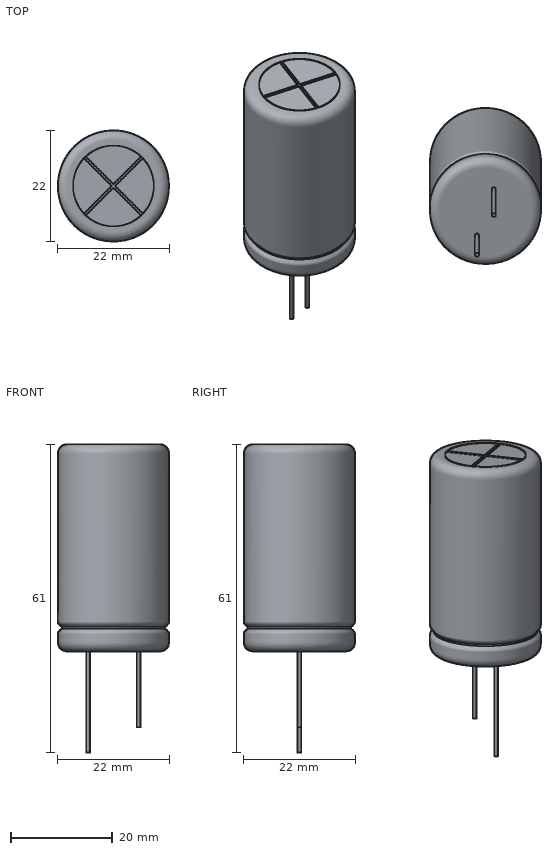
import cadquery as cq
CAN_DIAMETER = 22.0
CAN_HEIGHT = 41.0
CAN_EDGE_RADIUS = 1.8
CAN_RADIUS = CAN_DIAMETER / 2

GROOVE_Z = 4.7
GROOVE_BOTTOM_WIDTH = 0.35
GROOVE_DEPTH = 0.75
GROOVE_LIP_RADIUS = 0.55

RECESS_DIAMETER = 16.0
RECESS_DEPTH = 0.15
SCORE_WIDTH = 0.5
SCORE_DEPTH = 0.15
SCORE_ANGLES = (45, 135)

LEAD_DIAMETER = 0.8
LEAD_PITCH = 10.0
TOTAL_HEIGHT = 61.0
LONG_LEAD_LENGTH = TOTAL_HEIGHT - CAN_HEIGHT
SHORT_LEAD_LENGTH = 15.0
LEADS = ((-LEAD_PITCH / 2, LONG_LEAD_LENGTH), (LEAD_PITCH / 2, SHORT_LEAD_LENGTH))


def make_groove_cutter():
    """Ring with a trapezoid section that leaves the crimp groove in the can wall."""
    bottom_half = GROOVE_BOTTOM_WIDTH / 2
    mouth_half = bottom_half + GROOVE_DEPTH
    bottom_radius = CAN_RADIUS - GROOVE_DEPTH
    return (
        cq.Workplane("XZ")
        .moveTo(bottom_radius, GROOVE_Z - bottom_half)
        .lineTo(CAN_RADIUS, GROOVE_Z - mouth_half)
        .lineTo(CAN_RADIUS, GROOVE_Z + mouth_half)
        .lineTo(bottom_radius, GROOVE_Z + bottom_half)
        .close()
        .revolve(360, (0, 0, 0), (0, 1, 0))
    )


def cut_crimp_groove(can):
    """Cut the groove, then round its two lips."""
    can = can.cut(make_groove_cutter())
    mouth_half = GROOVE_BOTTOM_WIDTH / 2 + GROOVE_DEPTH
    margin = GROOVE_LIP_RADIUS / 2
    for lip_z in (GROOVE_Z - mouth_half, GROOVE_Z + mouth_half):
        lip_zone = cq.selectors.BoxSelector(
            (-CAN_DIAMETER, -CAN_DIAMETER, lip_z - margin),
            (CAN_DIAMETER, CAN_DIAMETER, lip_z + margin),
        )
        can = can.edges("%CIRCLE").edges(lip_zone).fillet(GROOVE_LIP_RADIUS)
    return can


def make_recess_disc(bottom_z, thickness):
    """Disc on the can's axis, as wide as the recess."""
    return cq.Workplane().workplane(offset=bottom_z).circle(RECESS_DIAMETER / 2).extrude(thickness)


def cut_top_recess(can):
    """Sink the round recess and score a cross across its floor."""
    recess_floor = CAN_HEIGHT - RECESS_DEPTH
    score_floor = recess_floor - SCORE_DEPTH
    can = can.cut(make_recess_disc(recess_floor, RECESS_DEPTH))
    score_limit = make_recess_disc(score_floor, SCORE_DEPTH)
    for angle in SCORE_ANGLES:
        bar = (
            cq.Workplane()
            .workplane(offset=score_floor)
            .rect(RECESS_DIAMETER, SCORE_WIDTH)
            .extrude(SCORE_DEPTH)
            .rotate((0, 0, 0), (0, 0, 1), angle)
        )
        can = can.cut(bar.intersect(score_limit))
    return can


def make_can():
    """Cylinder with rounded ends, a crimp groove near the bottom and a scored recess on top."""
    can = cq.Workplane().circle(CAN_RADIUS).extrude(CAN_HEIGHT)
    can = can.faces("<Z or >Z").edges().fillet(CAN_EDGE_RADIUS)
    can = cut_crimp_groove(can)
    return cut_top_recess(can)


def make_lead(x, length):
    """Wire hanging from the can's bottom face."""
    return cq.Workplane().center(x, 0).circle(LEAD_DIAMETER / 2).extrude(-length)


can = make_can()
leads = [make_lead(x, length) for x, length in LEADS]

result = cq.Compound.makeCompound([can.val(), *[lead.val() for lead in leads]])